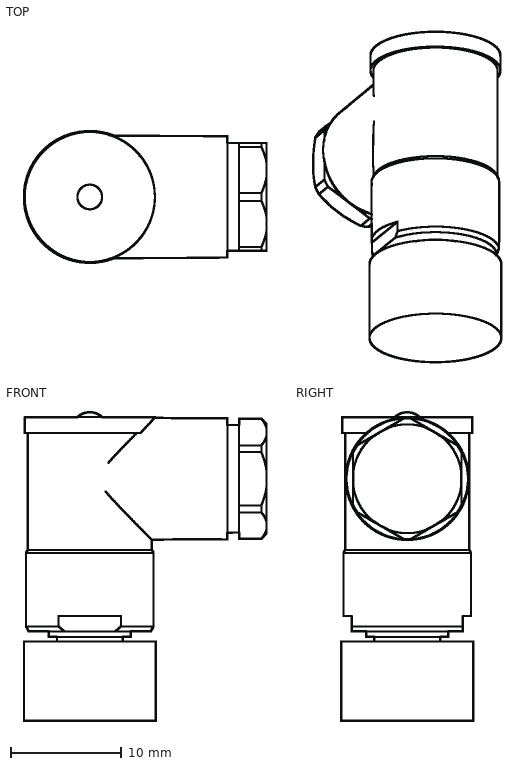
import cadquery as cq
import math

total_height = 28.05
overall_length = 22.07

coupling_dia = 12.0
neck_dia = 6.0
step_dia = 7.5
collar_dia = 11.6
collar_bottom_dia = 11.13
barrel_dia = 11.3
cap_dia = 11.83

coupling_top = 7.2
neck_top = 7.63
collar_bottom = 8.13
lower_chamfer_top = 8.58
upper_chamfer_bottom = 15.25
collar_top = 15.53
cap_bottom = 26.13
cap_top = 27.6

flats_width = 10.12
flats_top = 9.5

dome_dia = 2.25

arm_axis_height = 21.98
arm_root_dia = 11.2
arm_end_dia = 11.05
arm_end = 12.5
arm_neck_dia = 9.8

nut_start = 13.57
nut_end = overall_length - coupling_dia / 2
nut_sides = 6
nut_across_flats = 9.8
nut_corner_dia = 10.94
nut_chamfer_length = 0.48
nut_end_dia = 9.9


def upright_cylinder(dia, bottom, top):
    return cq.Workplane("XY").workplane(offset=bottom).circle(dia / 2).extrude(top - bottom)


def make_arm():
    """Slightly tapered arm starting on the upright axis, followed by its narrower neck."""
    return (
        cq.Workplane("XY", origin=(0, 0, arm_axis_height))
        .lineTo(0, arm_root_dia / 2)
        .lineTo(arm_end, arm_end_dia / 2)
        .lineTo(arm_end, arm_neck_dia / 2)
        .lineTo(nut_start, arm_neck_dia / 2)
        .lineTo(nut_start, 0)
        .close()
        .revolve(360, (0, 0, 0), (1, 0, 0))
    )


def make_collar():
    """Collar with a chamfer at each end and two flats facing -Y and +Y."""
    collar = (
        cq.Workplane("XZ")
        .moveTo(0, collar_bottom)
        .lineTo(collar_bottom_dia / 2, collar_bottom)
        .lineTo(collar_dia / 2, lower_chamfer_top)
        .lineTo(collar_dia / 2, upper_chamfer_bottom)
        .lineTo(barrel_dia / 2, collar_top)
        .lineTo(0, collar_top)
        .close()
        .revolve(360, (0, 0, 0), (0, 1, 0))
    )
    flats_height = flats_top - collar_bottom
    cut_depth = (collar_dia - flats_width) / 2
    for side in (-1, 1):
        cutter = (
            cq.Workplane("XY", origin=(0, side * (flats_width + cut_depth) / 2, collar_bottom))
            .box(collar_dia, cut_depth, flats_height, centered=(True, True, False))
        )
        collar = collar.cut(cutter)
    return collar


def make_dome():
    """Spherical cap rising from the top face to the full height."""
    base_radius = dome_dia / 2
    dome_height = total_height - cap_top
    sphere_radius = (base_radius**2 + dome_height**2) / (2 * dome_height)
    half_angle = math.asin(base_radius / sphere_radius) / 2
    sphere_centre = total_height - sphere_radius
    arc_middle = (
        sphere_radius * math.sin(half_angle),
        sphere_centre + sphere_radius * math.cos(half_angle),
    )
    return (
        cq.Workplane("XZ")
        .moveTo(0, cap_top)
        .lineTo(base_radius, cap_top)
        .threePointArc(arc_middle, (0, total_height))
        .close()
        .revolve(360, (0, 0, 0), (0, 1, 0))
    )


def make_gland_nut():
    """Hexagon with flats facing -Y and +Y, its corners turned down and its outer end chamfered."""
    hexagon_dia = nut_across_flats / math.cos(math.pi / nut_sides)
    hexagon = (
        cq.Workplane("YZ", origin=(nut_start, 0, arm_axis_height))
        .transformed(rotate=(0, 0, 90))
        .polygon(nut_sides, hexagon_dia)
        .extrude(nut_end - nut_start)
    )
    turned_envelope = (
        cq.Workplane("XY", origin=(0, 0, arm_axis_height))
        .moveTo(nut_start, 0)
        .lineTo(nut_start, nut_corner_dia / 2)
        .lineTo(nut_end - nut_chamfer_length, nut_corner_dia / 2)
        .lineTo(nut_end, nut_end_dia / 2)
        .lineTo(nut_end, 0)
        .close()
        .revolve(360, (0, 0, 0), (1, 0, 0))
    )
    return hexagon.intersect(turned_envelope)


upright = (
    upright_cylinder(coupling_dia, 0, coupling_top)
    .union(upright_cylinder(neck_dia, coupling_top, neck_top))
    .union(upright_cylinder(step_dia, neck_top, collar_bottom))
    .union(make_collar())
    .union(upright_cylinder(barrel_dia, collar_top, cap_bottom))
    .union(upright_cylinder(cap_dia, cap_bottom, cap_top))
    .union(make_dome())
)

result = upright.union(make_arm()).union(make_gland_nut())